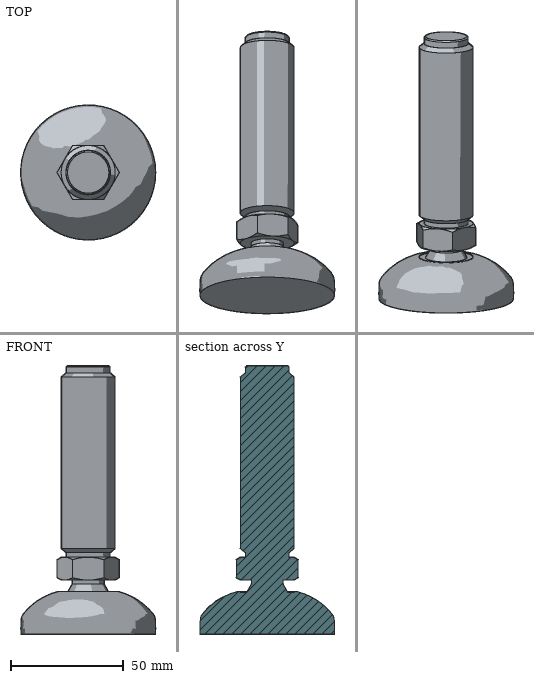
import cadquery as cq
import math

total_height = 119.2
pad_diameter = 60.0

base_band_height = 0.5
base_band_inset = 0.1
pad_seam_height = 2.5
pad_wall_top_diameter = 59.7
pad_wall_top = 6.1
dome_bottom = 8.9
dome_bottom_diameter = 57.9
dome_top = 19.1
dome_top_diameter = 26.6
dome_bulge = 1.5
shoulder_bulge = 0.2
seat_diameter = 24.0
seat_depth = 0.4

neck_diameter = 14.3
neck_flare_diameter = 18.4
neck_flare_top = 22.3

nut_bottom = 24.1
nut_height = 10.1
nut_across_flats = 24.0
nut_chamfer_height = 1.1

stud_diameter = 24.0
stud_chamfer_height = 1.8
stud_bottom = 36.2
stud_top = total_height - 3.2
relief_diameter = 19.5
stud_shoulder = 0.1
tip_chamfer = 0.6


def bulged_midpoint(start, end, bulge):
    """Point at the middle of a chord, pushed outward by the bulge height."""
    dx = end[0] - start[0]
    dz = end[1] - start[1]
    chord = math.hypot(dx, dz)
    return (
        (start[0] + end[0]) / 2 + bulge * dz / chord,
        (start[1] + end[1]) / 2 - bulge * dx / chord,
    )


def make_pad():
    radius = pad_diameter / 2
    wall_top = (pad_wall_top_diameter / 2, pad_wall_top)
    dome_start = (dome_bottom_diameter / 2, dome_bottom)
    dome_end = (dome_top_diameter / 2, dome_top)
    return (
        cq.Workplane("XZ")
        .lineTo(radius - base_band_inset, 0)
        .lineTo(radius - base_band_inset, base_band_height)
        .lineTo(radius, pad_seam_height)
        .lineTo(*wall_top)
        .threePointArc(bulged_midpoint(wall_top, dome_start, shoulder_bulge), dome_start)
        .threePointArc(bulged_midpoint(dome_start, dome_end, dome_bulge), dome_end)
        .lineTo(seat_diameter / 2, dome_top)
        .lineTo(seat_diameter / 2, dome_top - seat_depth)
        .lineTo(0, dome_top - seat_depth)
        .close()
        .revolve(360, (0, 0), (0, 1))
    )


def make_neck():
    return (
        cq.Workplane("XZ")
        .moveTo(0, dome_top - seat_depth)
        .lineTo(neck_flare_diameter / 2, dome_top - seat_depth)
        .lineTo(neck_diameter / 2, neck_flare_top)
        .lineTo(neck_diameter / 2, nut_bottom)
        .lineTo(0, nut_bottom)
        .close()
        .revolve(360, (0, 0), (0, 1))
    )


def make_nut():
    across_corners = nut_across_flats / math.cos(math.pi / 6)
    corner_chamfer = (across_corners - nut_across_flats) / 2
    hexagon = (
        cq.Workplane("XY")
        .workplane(offset=nut_bottom)
        .polygon(6, across_corners)
        .extrude(nut_height)
    )
    envelope = (
        cq.Workplane("XY")
        .workplane(offset=nut_bottom)
        .circle(across_corners / 2)
        .extrude(nut_height)
        .faces("<Z or >Z")
        .chamfer(nut_chamfer_height, corner_chamfer)
    )
    return hexagon.intersect(envelope)


def make_stud():
    core_bottom = nut_bottom + nut_height
    core = (
        cq.Workplane("XY")
        .workplane(offset=core_bottom)
        .circle(relief_diameter / 2)
        .extrude(total_height - core_bottom)
        .faces(">Z")
        .chamfer(tip_chamfer)
    )
    chamfer_inset = (stud_diameter - relief_diameter) / 2 - stud_shoulder
    body = (
        cq.Workplane("XY")
        .workplane(offset=stud_bottom)
        .circle(stud_diameter / 2)
        .extrude(stud_top - stud_bottom)
        .faces("<Z or >Z")
        .chamfer(stud_chamfer_height, chamfer_inset)
    )
    return core.union(body)


result = make_pad().union(make_neck()).union(make_nut()).union(make_stud())